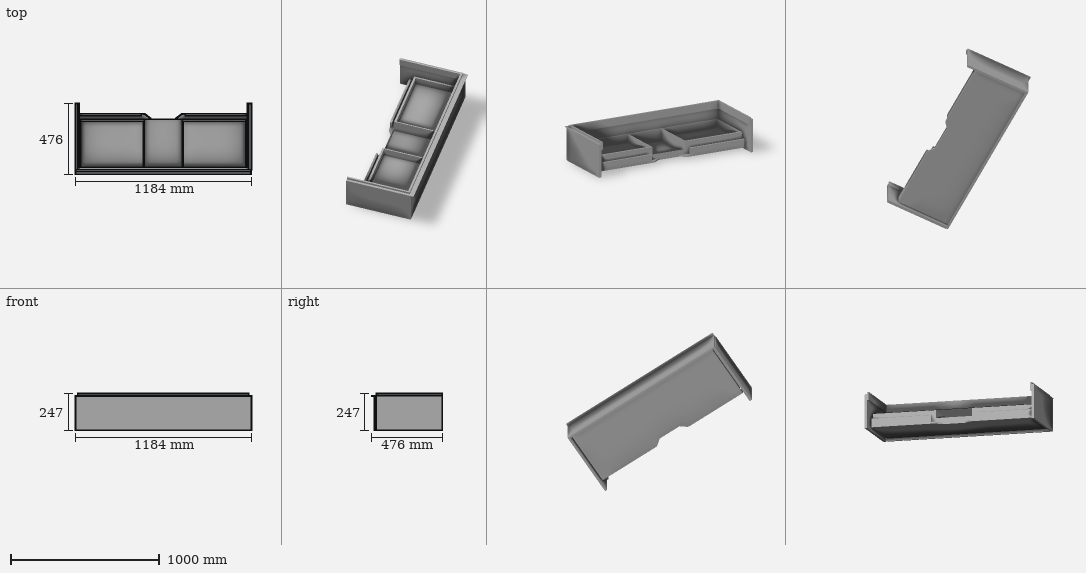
import cadquery as cq

WIDTH = 1184.0
DEPTH = 476.0
HEIGHT = 247.0
FRONT_WIDTH = 1180.0

PANEL_TOP = 232.0
SIDE_FRONT = 32.0
LEFT_PANEL_THICKNESS = 15.0
RIGHT_PANEL_THICKNESS = 19.0
FRONT_THICKNESS = 13.0
GRIP_THICKNESS = 5.0

RAIL_SIDE_THICKNESS = 11.0
RAIL_FRONT_THICKNESS = 14.0
RAIL_HEIGHT = 55.0

BASE_BOTTOM = 18.0
BASE_THICKNESS = 11.0
TRAY_FLOOR = 57.0
DRAWER_TOP = 117.0
TRAY_REAR = 370.0
SIDE_WALL = 11.0
SIDE_WALL_DROP = 1.0
REAR_WALL = 14.0
DIVIDER_THICKNESS = 7.0
BAY_WIDTH = 252.0
LIP_THICKNESS = 1.0
LIP_TOP = 63.0

BASE_REAR = 407.0
CUTOUT_WIDTH = 160.0
CUTOUT_MOUTH = 250.0
CORNER_RADIUS = 35.0
REAR_BOARD_THICKNESS = 14.0
REAR_BOARD_TOP = 77.0
REAR_BOARD_GAP = 296.0

INNER_LEFT = LEFT_PANEL_THICKNESS + RAIL_SIDE_THICKNESS
INNER_RIGHT = WIDTH - RIGHT_PANEL_THICKNESS - RAIL_SIDE_THICKNESS
CENTER_X = (INNER_LEFT + INNER_RIGHT) / 2
INNER_FRONT = SIDE_FRONT + RAIL_FRONT_THICKNESS
BASE_TOP = BASE_BOTTOM + BASE_THICKNESS
GRIP_BOTTOM = PANEL_TOP - GRIP_THICKNESS


def block(x0, x1, y0, y1, z0, z1):
    """Box spanning the given limits along each axis."""
    return cq.Workplane("XY").box(x1 - x0, y1 - y0, z1 - z0, centered=False).translate((x0, y0, z0))


def mirrored(shape):
    """Copy of a shape on the other side of the drawer's centre plane."""
    return shape.mirror("YZ", (CENTER_X, 0, 0))


def make_side_panel(x0, x1):
    return block(x0, x1, SIDE_FRONT, DEPTH, 0, PANEL_TOP)


def make_front_panel():
    return block(0, FRONT_WIDTH, SIDE_FRONT - FRONT_THICKNESS, SIDE_FRONT, 0, GRIP_BOTTOM)


def make_grip_strip():
    return block(0, FRONT_WIDTH, 0, SIDE_FRONT, GRIP_BOTTOM, PANEL_TOP)


def make_top_rail():
    bottom = HEIGHT - RAIL_HEIGHT
    left = LEFT_PANEL_THICKNESS
    right = WIDTH - RIGHT_PANEL_THICKNESS
    outer = block(left, right, SIDE_FRONT, DEPTH, bottom, HEIGHT)
    opening = block(INNER_LEFT, INNER_RIGHT, INNER_FRONT, DEPTH, bottom, HEIGHT)
    return outer.cut(opening)


def make_drawer():
    body = block(INNER_LEFT, INNER_RIGHT, SIDE_FRONT, TRAY_REAR, BASE_TOP, DRAWER_TOP)

    bay_left = CENTER_X - BAY_WIDTH / 2
    bay_right = CENTER_X + BAY_WIDTH / 2
    bay_rear = TRAY_REAR - LIP_THICKNESS
    body = body.cut(block(bay_left, bay_right, INNER_FRONT, bay_rear, BASE_TOP, DRAWER_TOP))
    body = body.cut(block(bay_left, bay_right, bay_rear, TRAY_REAR, LIP_TOP, DRAWER_TOP))

    wall_inner = INNER_LEFT + SIDE_WALL
    pocket = block(wall_inner, bay_left - DIVIDER_THICKNESS,
                   INNER_FRONT, TRAY_REAR - REAR_WALL, TRAY_FLOOR, DRAWER_TOP)
    wall_step = block(INNER_LEFT, wall_inner, INNER_FRONT, TRAY_REAR, DRAWER_TOP - SIDE_WALL_DROP, DRAWER_TOP)
    for cutter in (pocket, wall_step):
        body = body.cut(cutter).cut(mirrored(cutter))
    return body


def make_base():
    plate = block(INNER_LEFT, INNER_RIGHT, SIDE_FRONT, BASE_REAR, BASE_BOTTOM, BASE_TOP)
    half_inner = CUTOUT_WIDTH / 2
    half_mouth = CUTOUT_MOUTH / 2
    cutout = (
        cq.Workplane("XY", origin=(CENTER_X, 0, BASE_BOTTOM))
        .moveTo(-half_inner, TRAY_REAR)
        .lineTo(half_inner, TRAY_REAR)
        .lineTo(half_mouth, BASE_REAR)
        .lineTo(-half_mouth, BASE_REAR)
        .close()
        .extrude(BASE_THICKNESS)
    )
    plate = plate.cut(cutout)
    mouth_corners = cq.selectors.BoxSelector(
        (CENTER_X - CUTOUT_MOUTH, BASE_REAR - CORNER_RADIUS / 2, BASE_BOTTOM),
        (CENTER_X + CUTOUT_MOUTH, BASE_REAR + CORNER_RADIUS / 2, BASE_TOP),
    )
    plate = plate.edges("|Z").edges(mouth_corners).fillet(CORNER_RADIUS)

    rear_board = block(INNER_LEFT, CENTER_X - REAR_BOARD_GAP / 2,
                       BASE_REAR - REAR_BOARD_THICKNESS, BASE_REAR, BASE_TOP, REAR_BOARD_TOP)
    return plate.union(rear_board).union(mirrored(rear_board))


left_panel = make_side_panel(0, LEFT_PANEL_THICKNESS)
right_panel = make_side_panel(WIDTH - RIGHT_PANEL_THICKNESS, WIDTH)
front_panel = make_front_panel()
grip_strip = make_grip_strip()
top_rail = make_top_rail()
drawer = make_drawer()
base = make_base()

result = cq.Compound.makeCompound([
    left_panel.val(),
    right_panel.val(),
    front_panel.val(),
    grip_strip.val(),
    top_rail.val(),
    drawer.val(),
    base.val(),
])